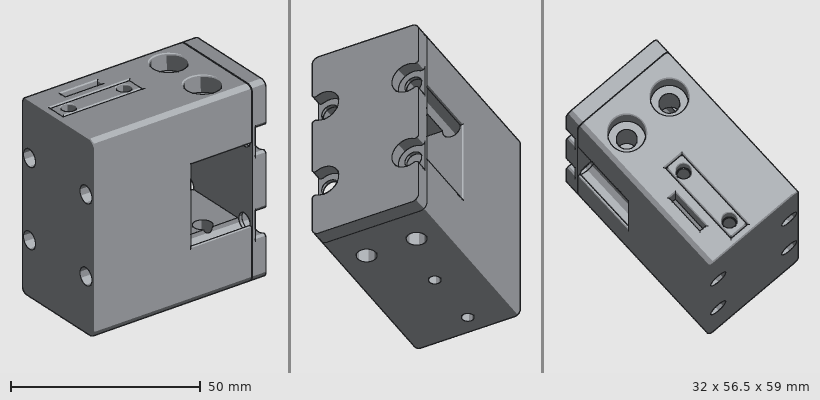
import cadquery as cq
width = 32.0
height = 59.0
housing_length = 52.0
plate_thickness = 4.5
corner_radius = 2.0
selection_margin = 0.05
edge_radius = 0.5

front_y = 0.0
joint_y = front_y + housing_length
top_z = height / 2

screw_spacing_x = 25.0
plate_spacing_z = 25.0
plate_screw_hole = 5.0
housing_spacing_z = 24.6
housing_screw_hole = 5.3
head_diameter = 9.0
head_depth = 3.5
head_edge_radius = 1.0

window_depth = 20.0
window_height = 25.0
window_edge_radius = 0.4

vertical_spacing = 15.0
vertical_from_joint = 10.0
vertical_diameter = 5.5
vertical_head_diameter = 10.0
vertical_head_depth = 5.0

strip_width = 5.8
strip_length = 26.0
strip_thickness = 3.0
strip_x = -3.25
strip_y = 15.1
strip_hole = 4.0
strip_hole_edge_radius = 0.35
strip_hole_spacing = 18.2
strip_hole_places = [(strip_x, strip_y + side * strip_hole_spacing / 2) for side in (-1, 1)]
strip_screw_hole = 3.4

slot_width = 2.0
slot_length = 12.0
slot_depth = 5.0
slot_floor_radius = 5.0
slot_x = -9.9
slot_y = 15.1


def block(length, y_start):
    """Rounded block of the common section, starting at y_start and running towards +Y."""
    return (
        cq.Workplane("XY")
        .box(width, length, height, centered=(True, False, True))
        .edges("|Y")
        .fillet(corner_radius)
        .translate((0, y_start, 0))
    )


def rod(x, z, diameter, y_start, length):
    """Round cutter along Y."""
    return cq.Workplane("XZ", origin=(x, y_start, z)).circle(diameter / 2).extrude(-length)


def screw_places(spacing_z):
    """X and Z of the four screw axes."""
    return [(sx * screw_spacing_x / 2, sz * spacing_z / 2) for sx in (-1, 1) for sz in (-1, 1)]


def drill(x, y, diameter, z_top, depth):
    """Round cutter going down from z_top."""
    return cq.Workplane("XY", origin=(x, y, z_top)).circle(diameter / 2).extrude(-depth)


def pocket(x, y, size_x, size_y, depth):
    """Rectangular cutter going down from the top face."""
    return cq.Workplane("XY", origin=(x, y, top_z)).rect(size_x, size_y).extrude(-depth)


def edges_centred_in(middle, size):
    """Selector for the edges whose centres lie in a box with the given middle and size, or on its sides."""
    half = [length / 2 + selection_margin for length in size]
    low = tuple(m - h for m, h in zip(middle, half))
    high = tuple(m + h for m, h in zip(middle, half))
    return cq.selectors.BoxSelector(low, high)


def round_top_edges(body, x, y, size_x, size_y):
    """Round the edges in the top face that lie inside a rectangle centred on x, y."""
    return body.edges(edges_centred_in((x, y, top_z), (size_x, size_y, 0))).fillet(edge_radius)


def slot_cutter():
    """Narrow pocket whose floor falls away in an arc from the +X wall."""
    floor_axis_z = top_z - slot_depth - slot_floor_radius
    floor = rod(
        slot_x + slot_width / 2,
        floor_axis_z,
        2 * slot_floor_radius,
        slot_y - slot_length / 2,
        slot_length,
    )
    deep_pocket = pocket(slot_x, slot_y, slot_width, slot_length, slot_depth + slot_floor_radius)
    return deep_pocket.cut(floor)


def cut_window(body):
    """Cut the window and round its mouth on both sides of the housing."""
    window = (
        cq.Workplane("XY")
        .box(width, window_depth, window_height, centered=(True, False, True))
        .translate((0, joint_y - window_depth, 0))
    )
    body = body.cut(window)
    window_middle_y = joint_y - window_depth / 2
    for side in (-1, 1):
        mouth_middle = (side * width / 2, window_middle_y, 0)
        mouth = edges_centred_in(mouth_middle, (0, window_depth, window_height))
        body = body.edges(mouth).fillet(window_edge_radius)
    return body


def cut_vertical_holes(body):
    """Cut the counterbored holes and round the mouths of their counterbores."""
    y = joint_y - vertical_from_joint
    for side in (-1, 1):
        x = side * vertical_spacing / 2
        body = body.cut(drill(x, y, vertical_head_diameter, top_z, vertical_head_depth))
        body = round_top_edges(body, x, y, vertical_head_diameter, vertical_head_diameter)
        body = body.cut(drill(x, y, vertical_diameter, top_z, height))
    return body


def make_housing():
    """Main block with its window, vertical holes, strip pocket, slot and screw holes."""
    body = block(housing_length, front_y).faces("<Y or >Y").edges().fillet(edge_radius)
    body = cut_window(body)
    body = cut_vertical_holes(body)
    body = body.cut(pocket(strip_x, strip_y, strip_width, strip_length, strip_thickness))
    body = round_top_edges(body, strip_x, strip_y, strip_width, strip_length)
    body = body.cut(slot_cutter())
    body = round_top_edges(body, slot_x, slot_y, slot_width, slot_length)
    for x, y in strip_hole_places:
        body = body.cut(drill(x, y, strip_screw_hole, top_z, height))
    for x, z in screw_places(housing_spacing_z):
        body = body.cut(rod(x, z, housing_screw_hole, front_y, housing_length))
    return body


def make_strip():
    """Flush strip with two screw holes and rounded upper edges."""
    body = pocket(strip_x, strip_y, strip_width, strip_length, strip_thickness)
    body = body.faces(">Z").edges().fillet(edge_radius)
    for x, y in strip_hole_places:
        body = body.cut(drill(x, y, strip_hole, top_z, strip_thickness))
    return body.faces(">Z").edges("%CIRCLE").fillet(strip_hole_edge_radius)


def make_plate():
    """Back plate whose screw head recesses break out through its sides."""
    body = block(plate_thickness, joint_y)
    back_y = joint_y + plate_thickness
    for x, z in screw_places(plate_spacing_z):
        body = body.cut(rod(x, z, plate_screw_hole, joint_y, plate_thickness))
        body = body.cut(rod(x, z, head_diameter, back_y - head_depth, head_depth))
    recess_middle = (0, back_y - head_depth / 2, 0)
    recess_edges = edges_centred_in(recess_middle, (width, head_depth, plate_spacing_z + head_diameter))
    return body.edges("|Y").edges(recess_edges).fillet(head_edge_radius)


housing = make_housing()
strip = make_strip()
plate = make_plate()
result = cq.Compound.makeCompound([housing.solids().val(), strip.solids().val(), plate.solids().val()])